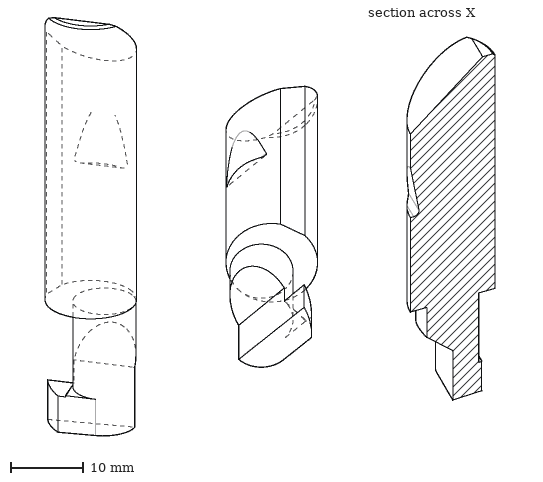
import cadquery as cq
import math

TOTAL_LENGTH = 63.5
SHANK_LENGTH = 44.45
SHANK_BOTTOM = TOTAL_LENGTH - SHANK_LENGTH

SHANK_DIAMETER = 12.7
SHANK_RADIUS = SHANK_DIAMETER / 2
TOP_CHAMFER = 0.38
BEVEL_START_Y = -4.45
SIDE_FLAT_ANGLE = 17.5

NOTCH_BOTTOM = 36.95
NOTCH_LENGTH = 9.25
NOTCH_ANGLE = 8.7
NOTCH_CORNER_RADIUS = 0.8

NECK_DIAMETER = 8.75
NECK_RADIUS = NECK_DIAMETER / 2
NECK_CENTER_X = SHANK_RADIUS - NECK_RADIUS
RAKE_BEVEL_Z = 9.55

TIP_X = -6.22
HEEL_X = -3.45
FLANK_BULGE = 0.3
HEAD_HEIGHT = 6.05
TOP_RELIEF_ANGLE = 2.5
END_RELIEF_ANGLE = 3.0
END_TILT_ANGLE = 2.0

CUT_MARGIN = 10.0


def slope(angle):
    return math.tan(math.radians(angle))


def x_prism(points):
    """Prism with a (Y, Z) outline, running across the whole part along X."""
    return cq.Workplane("YZ").polyline(points).close().extrude(SHANK_RADIUS + CUT_MARGIN, both=True)


def end_bevel():
    far_y = SHANK_RADIUS + CUT_MARGIN
    rise = CUT_MARGIN
    return x_prism([
        (BEVEL_START_Y - rise, TOTAL_LENGTH + rise),
        (far_y, TOTAL_LENGTH - (far_y - BEVEL_START_Y)),
        (far_y, TOTAL_LENGTH + rise),
    ])


def side_flat():
    """Cutter for the flat whose chord starts at the -X extreme of the shank."""
    chord = 2 * SHANK_RADIUS * math.sin(math.radians(SIDE_FLAT_ANGLE))
    chord_end = (
        -SHANK_RADIUS + chord * math.sin(math.radians(SIDE_FLAT_ANGLE)),
        chord * math.cos(math.radians(SIDE_FLAT_ANGLE)),
    )
    outer_x = -SHANK_RADIUS - CUT_MARGIN
    return (
        cq.Workplane("XY")
        .polyline([(-SHANK_RADIUS, 0), chord_end, (outer_x, chord_end[1]), (outer_x, 0)])
        .close()
        .extrude(TOTAL_LENGTH)
    )


def clamping_notch():
    """Cutter with a sloped floor and a square lower wall, rounded in the corner between them."""
    floor_y = SHANK_RADIUS - NOTCH_LENGTH * slope(NOTCH_ANGLE)
    outer_y = SHANK_RADIUS + CUT_MARGIN
    outer_z = NOTCH_BOTTOM + NOTCH_LENGTH + CUT_MARGIN / slope(NOTCH_ANGLE)
    cutter = x_prism([(floor_y, NOTCH_BOTTOM), (outer_y, NOTCH_BOTTOM), (outer_y, outer_z)])
    return cutter.edges("|X").edges("<Y").fillet(NOTCH_CORNER_RADIUS)


def make_shank():
    shank = (
        cq.Workplane("XY", origin=(0, 0, SHANK_BOTTOM))
        .circle(SHANK_RADIUS)
        .extrude(SHANK_LENGTH)
        .faces(">Z")
        .chamfer(TOP_CHAMFER)
    )
    return shank.cut(end_bevel()).cut(side_flat()).cut(clamping_notch())


def make_neck():
    neck = cq.Workplane("XY").center(NECK_CENTER_X, 0).circle(NECK_RADIUS).extrude(SHANK_BOTTOM)
    reach = NECK_RADIUS + CUT_MARGIN
    rake_cut = x_prism([
        (0, -CUT_MARGIN),
        (0, RAKE_BEVEL_Z),
        (reach, RAKE_BEVEL_Z + reach),
        (reach, -CUT_MARGIN),
    ])
    return neck.cut(rake_cut)


def make_head():
    flank_dx = HEEL_X - TIP_X
    flank_dy = -NECK_RADIUS
    flank_chord = math.hypot(flank_dx, flank_dy)
    flank_middle = (
        (TIP_X + HEEL_X) / 2 + FLANK_BULGE * flank_dy / flank_chord,
        flank_dy / 2 - FLANK_BULGE * flank_dx / flank_chord,
    )
    head = (
        cq.Workplane("XY")
        .moveTo(TIP_X, 0)
        .threePointArc(flank_middle, (HEEL_X, -NECK_RADIUS))
        .lineTo(NECK_CENTER_X, -NECK_RADIUS)
        .lineTo(NECK_CENTER_X, 0)
        .close()
        .extrude(HEAD_HEIGHT)
    )
    neck_side_x = NECK_CENTER_X - NECK_RADIUS
    relief = (
        cq.Workplane("YZ", origin=(neck_side_x, 0, 0))
        .polyline([
            (0, HEAD_HEIGHT),
            (-CUT_MARGIN, HEAD_HEIGHT - CUT_MARGIN * slope(TOP_RELIEF_ANGLE)),
            (-CUT_MARGIN, HEAD_HEIGHT),
        ])
        .close()
        .extrude(-CUT_MARGIN)
    )
    return head.cut(relief)


def end_relief():
    """Cutter below the lower end, which rises from the tip towards +X and towards -Y."""
    tilt = slope(END_TILT_ANGLE)
    normal = cq.Vector(tilt, -slope(END_RELIEF_ANGLE), -1)
    plane = cq.Plane(origin=(TIP_X, 0, 0), xDir=(1, 0, tilt), normal=normal)
    return cq.Workplane(plane).circle(2 * SHANK_RADIUS + CUT_MARGIN).extrude(CUT_MARGIN)


result = make_shank().union(make_neck()).union(make_head()).cut(end_relief())